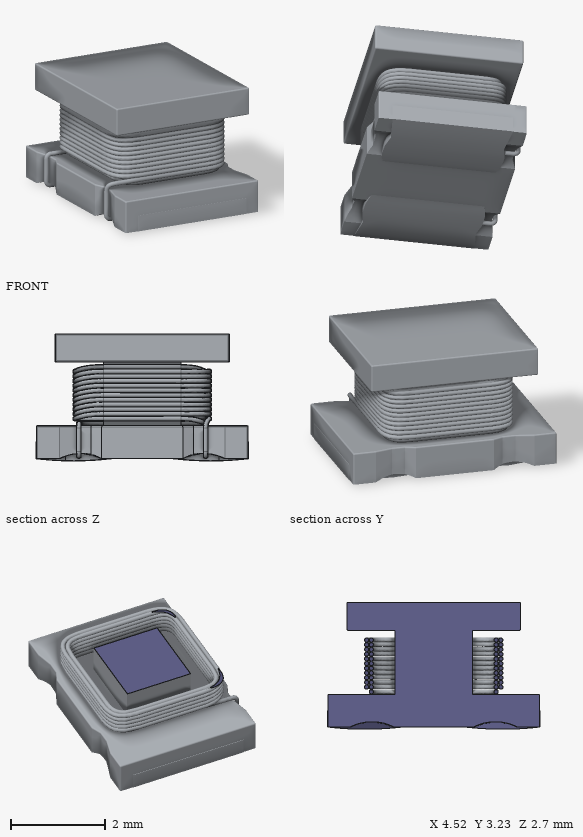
import cadquery as cq
import math


core_width = 3.2
base_length = 4.5
base_height = 0.7
top_length = 3.7
top_height = 0.6
column_length = 1.65
column_width = 1.5
column_height = 1.35
edge_radius = 0.03

notch_inner_x = 0.86
notch_floor_inner_x = 1.085
notch_floor_outer_x = 1.37
notch_outer_x = 1.755
notch_depth = 0.095

groove_height = 0.11
groove_middle_x = (notch_inner_x + notch_outer_x) / 2

plate_thickness = 0.01
plate_height = 0.35
terminal_width = 2.6
pad_depth = 0.05
pad_inner_x = 0.65
pad_waist_x = 1.626
pad_waist_inset = 0.08
plate_face_x = base_length / 2 + plate_thickness

wire_radius = 0.049
pitch = 0.1
inner_radius = 0.5
outer_radius = inner_radius + pitch
inner_turns = 12
outer_turns = inner_turns - 1
bottom_level = base_height + pitch / 2
corner_fullness = 0.76

lead_x = 1.345
lead_overhang = 0.03
lead_y = -core_width / 2 - lead_overhang + wire_radius
lead_bend = 0.1
bend_offset = lead_bend * (1 - math.sqrt(0.5))
lead_clearance = 0.006
lead_low_level = wire_radius + lead_clearance
lead_end_y = -terminal_width / 2
outer_lead_straight_end = -1.387


def make_base():
    notch_points = [
        (notch_outer_x, 0),
        (notch_floor_outer_x, notch_depth),
        (notch_floor_inner_x, notch_depth),
        (notch_inner_x, 0),
    ]
    base = cq.Workplane("XY").box(base_length, core_width, base_height, centered=(True, True, False))
    end_corners = base.edges("|Z").edges("<X or >X")
    base = end_corners.fillet(edge_radius)
    for side_x in (-1, 1):
        for side_y in (-1, 1):
            points = [(side_x * x, side_y * (core_width / 2 - depth)) for x, depth in notch_points]
            base = base.cut(cq.Workplane("XY").polyline(points).close().extrude(base_height))
    base = base.faces(">Z").edges().fillet(edge_radius)
    for side in (-1, 1):
        groove = (
            cq.Workplane("XZ")
            .moveTo(side * notch_inner_x, 0)
            .threePointArc((side * groove_middle_x, groove_height), (side * notch_outer_x, 0))
            .close()
            .extrude(core_width / 2, both=True)
        )
        base = base.cut(groove)
    return base


def make_core():
    column = (
        cq.Workplane("XY", origin=(0, 0, base_height))
        .rect(column_length, column_width)
        .extrude(column_height)
    )
    top = (
        cq.Workplane("XY", origin=(0, 0, base_height + column_height))
        .rect(top_length, core_width)
        .extrude(top_height)
        .edges()
        .fillet(edge_radius)
    )
    return make_base().union(column).union(top)


def make_terminal(side):
    """End plate and bottom pad; side is -1 for the -X end and 1 for the +X end."""
    half_width = terminal_width / 2
    waist_y = half_width - pad_waist_inset
    bulge_x = side * (pad_waist_x + pad_inner_x) / 2
    end_face_x = side * base_length / 2
    profile = (
        cq.Workplane("XZ")
        .moveTo(side * plate_face_x, 0)
        .lineTo(side * plate_face_x, plate_height)
        .lineTo(end_face_x, plate_height)
        .lineTo(end_face_x, 0)
        .lineTo(side * notch_outer_x, 0)
        .threePointArc((side * groove_middle_x, groove_height), (side * notch_inner_x, 0))
        .lineTo(side * pad_inner_x, 0)
        .threePointArc((side * (plate_face_x + pad_inner_x) / 2, -pad_depth), (side * plate_face_x, 0))
        .close()
        .extrude(half_width, both=True)
    )
    plan = (
        cq.Workplane("XY", origin=(0, 0, -pad_depth))
        .moveTo(side * plate_face_x, -half_width)
        .lineTo(end_face_x, -half_width)
        .lineTo(side * pad_waist_x, -waist_y)
        .threePointArc((bulge_x, -half_width), (side * pad_inner_x, -waist_y))
        .lineTo(side * pad_inner_x, waist_y)
        .threePointArc((bulge_x, half_width), (side * pad_waist_x, waist_y))
        .lineTo(end_face_x, half_width)
        .lineTo(side * plate_face_x, half_width)
        .close()
        .extrude(pad_depth + plate_height)
    )
    return profile.intersect(plan)


def corner_edge(quarter, radii, levels):
    """Clockwise corner bend that blends smoothly from one layer radius and level to the next.

    Quarters count clockwise, seen from +Z, from the -X, -Y corner.
    """
    sign_x, sign_y = [(-1, -1), (-1, 1), (1, 1), (1, -1)][quarter]
    center = cq.Vector(sign_x * column_length / 2, sign_y * column_width / 2, 0)
    along_x = cq.Vector(sign_x, 0, 0)
    along_y = cq.Vector(0, sign_y, 0)
    entry, leaving = (along_y, along_x) if quarter in (0, 2) else (along_x, along_y)
    start = center + entry * radii[0] + cq.Vector(0, 0, levels[0])
    end = center + leaving * radii[1] + cq.Vector(0, 0, levels[1])
    start_handle = start + leaving * (radii[1] * corner_fullness)
    end_handle = end + entry * (radii[0] * corner_fullness)
    return cq.Edge.makeBezier([start, start_handle, end_handle, end])


def winding_corners():
    """All corner bends in order, from the -X wire end up the inner layer and down the outer one."""
    corners = []
    for turn in range(inner_turns):
        level = bottom_level + turn * pitch
        if turn > 0:
            corners.append(corner_edge(0, (inner_radius, inner_radius), (level, level)))
        corners.append(corner_edge(1, (inner_radius, inner_radius), (level, level)))
        corners.append(corner_edge(2, (inner_radius, inner_radius), (level, level)))
        corners.append(corner_edge(3, (inner_radius, inner_radius), (level, level + pitch)))
    start_radius = inner_radius
    for turn in range(outer_turns):
        level = bottom_level + (outer_turns - turn) * pitch
        corners.append(corner_edge(0, (start_radius, outer_radius), (level + pitch, level)))
        corners.append(corner_edge(1, (outer_radius, outer_radius), (level, level)))
        corners.append(corner_edge(2, (outer_radius, outer_radius), (level, level)))
        if turn < outer_turns - 1:
            corners.append(corner_edge(3, (outer_radius, outer_radius), (level, level)))
        start_radius = outer_radius
    return corners


def lower_lead_edges(x, rising):
    """Straight drop in front of the base and the bend under it, which ends at the terminal pad."""
    points = [
        cq.Vector(x, lead_y, bottom_level - lead_bend),
        cq.Vector(x, lead_y, lead_low_level + lead_bend),
        cq.Vector(x, lead_y + bend_offset, lead_low_level + bend_offset),
        cq.Vector(x, lead_y + lead_bend, lead_low_level),
        cq.Vector(x, lead_end_y, lead_low_level),
    ]
    if rising:
        points.reverse()
    return [
        cq.Edge.makeLine(points[0], points[1]),
        cq.Edge.makeThreePointArc(points[1], points[2], points[3]),
        cq.Edge.makeLine(points[3], points[4]),
    ]


def make_winding():
    toward_back = cq.Vector(0, 1, 0)
    toward_front = cq.Vector(0, -1, 0)
    downward = cq.Vector(0, 0, -1)
    corners = winding_corners()

    inner_start = corners[0].startPoint()
    inner_exit = cq.Vector(inner_start.x, -column_width / 2, bottom_level)
    inner_bend_start = cq.Vector(-lead_x, lead_y + lead_bend, bottom_level)
    inner_bend_middle = cq.Vector(-lead_x, lead_y + bend_offset, bottom_level - bend_offset)
    inner_bend_end = cq.Vector(-lead_x, lead_y, bottom_level - lead_bend)
    edges = lower_lead_edges(-lead_x, rising=True)
    edges += [
        cq.Edge.makeThreePointArc(inner_bend_end, inner_bend_middle, inner_bend_start),
        cq.Edge.makeSpline([inner_bend_start, inner_exit], tangents=[toward_back, toward_back]),
        cq.Edge.makeLine(inner_exit, inner_start),
    ]

    for corner, following in zip(corners, corners[1:]):
        edges += [corner, cq.Edge.makeLine(corner.endPoint(), following.startPoint())]

    outer_end = corners[-1].endPoint()
    outer_bend_start = cq.Vector(outer_end.x, outer_lead_straight_end, outer_end.z)
    outer_bend_end = cq.Vector(lead_x, lead_y, bottom_level - lead_bend)
    edges += [
        corners[-1],
        cq.Edge.makeLine(outer_end, outer_bend_start),
        cq.Edge.makeSpline([outer_bend_start, outer_bend_end], tangents=[toward_front, downward]),
    ]
    edges += lower_lead_edges(lead_x, rising=False)

    path = cq.Wire.assembleEdges(edges)
    profile = cq.Workplane("XZ", origin=(-lead_x, lead_end_y, lead_low_level)).circle(wire_radius)
    return profile.sweep(cq.Workplane(path))


core = make_core().solids()
winding = make_winding()
terminals = [make_terminal(side).solids() for side in (-1, 1)]

result = cq.Compound.makeCompound([core.val(), winding.val(), *[terminal.val() for terminal in terminals]])